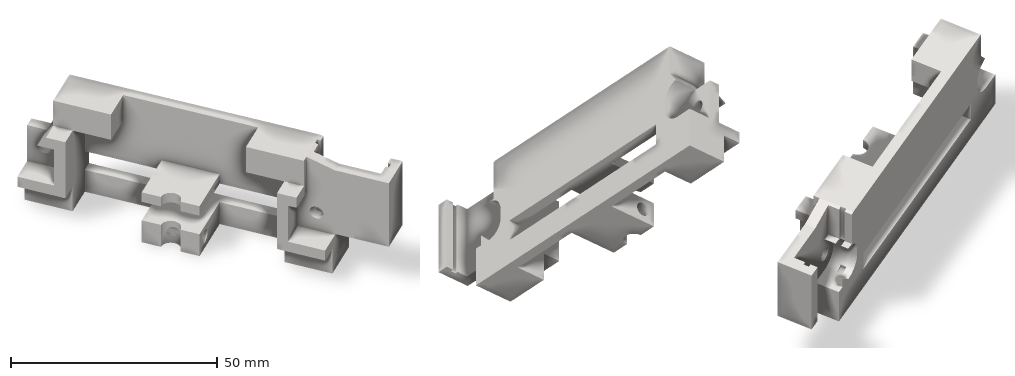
import cadquery as cq


total_length = 94.0
total_height = 32.7
base_length = 80.0
base_middle = base_length / 2
wall = 2.8

column_width = 12.5
column_foot_depth = 11.0
column_foot_height = 7.6
column_depth = 15.9
column_top = 24.9

wall_inset = 7.4
wall_right = base_length - wall_inset
wall_bottom = 12.5
corner_block_length = 15.0
bar_height = 6.8

tongue_width = 15.0
tongue_depth = 16.3
tongue_thickness = 2.9
groove_radius = 2.5
cross_hole_depth = 12.7
cross_hole_height = 3.5

hole_diameter = 3.6
hole_left_x = 4.6
hole_right_x = 75.2
lug_front_depth = 9.3
lug_back_depth = lug_front_depth - wall
pocket_bottom = 10.7
pocket_top = 21.8
hole_z = (pocket_bottom + pocket_top) / 2
pocket_reach = 4.9
cavity_radius = 4.5
roof_overhang = 2.3

arm_bottom = 11.0
arm_end_top = 30.6
flange_thickness = 3.1

rail_width = 0.8
slot_near_depth = 2.0
slot_far_depth = 3.5
slot_bite = 0.8

ramp_length = 2.9
ramp_width = 1.5
ramp_rise = ramp_length


def block(x_start, x_end, depth_start, depth_end, z_start, z_end):
    size = (x_end - x_start, depth_end - depth_start, z_end - z_start)
    return cq.Workplane("XY").box(*size, centered=False).translate((x_start, -depth_end, z_start))


def prism(points, depth_start, depth_end):
    """Extrude an XZ outline between two depths."""
    return (
        cq.Workplane("XZ", origin=(0, -depth_start, 0))
        .polyline(points)
        .close()
        .extrude(depth_end - depth_start)
    )


def column(x_start):
    x_end = x_start + column_width
    foot = block(x_start, x_end, 0, column_foot_depth, 0, column_top)
    return foot.union(block(x_start, x_end, 0, column_depth, column_foot_height, column_top))


def corner_block(x_start):
    return block(x_start, x_start + corner_block_length, 0, column_foot_depth, column_top, total_height)


def lug_cuts(hole_x, outward):
    """Front pocket and rounded back cavity; outward is -1 for the left end, 1 for the right."""
    inner_x = hole_x - outward * pocket_reach
    outer_x = inner_x + outward * column_width
    pocket_ends = sorted((inner_x, outer_x))
    pocket = block(*pocket_ends, lug_front_depth, column_depth, pocket_bottom, pocket_top)

    cavity_inner_x = hole_x - outward * cavity_radius
    cavity_ends = sorted((cavity_inner_x, outer_x))
    inner_edges = "<X and |Y" if outward > 0 else ">X and |Y"
    cavity = (
        block(*cavity_ends, 0, lug_back_depth, pocket_bottom, pocket_top)
        .edges(inner_edges)
        .fillet(cavity_radius)
    )
    return pocket.union(cavity)


def screw_hole(hole_x):
    return cq.Workplane("XZ").center(hole_x, hole_z).circle(hole_diameter / 2).extrude(column_depth)


def slanted_corner():
    """Waste beside the left roof, leaving its end slanted and clear of the cavity below it."""
    tip_x = wall_inset - roof_overhang
    outline = [(0, pocket_top), (tip_x, pocket_top), (wall_inset, column_top), (0, column_top)]
    cavity_mouth = block(0, tip_x, 0, lug_back_depth, hole_z, pocket_top)
    return prism(outline, 0, column_depth).union(cavity_mouth)


def sloped_outline(x_end):
    """Outline right of the wall whose top falls from the wall end to the column's outer side."""
    slope = (total_height - arm_end_top) / wall_inset
    return [
        (wall_right, arm_bottom),
        (x_end, arm_bottom),
        (x_end, total_height - slope * (x_end - wall_right)),
        (wall_right, total_height),
    ]


def arm():
    body = prism(sloped_outline(base_length), lug_back_depth, lug_front_depth)
    body = body.union(
        block(base_length, total_length, lug_back_depth, lug_front_depth, arm_bottom, arm_end_top)
    )
    flange_x = total_length - flange_thickness
    return body.union(block(flange_x, total_length, 0, lug_front_depth, arm_bottom, arm_end_top))


def ramp():
    start = hole_right_x
    end = start + ramp_length
    outline = [(start, pocket_bottom), (end, pocket_bottom), (end, pocket_bottom + ramp_rise)]
    return prism(outline, 0, ramp_width)


frame = column(0).union(column(base_length - column_width))
frame = frame.union(block(wall_inset, wall_right, 0, wall, wall_bottom, total_height))
frame = frame.union(block(column_width, base_length - column_width, 0, wall, 0, bar_height))
for block_x in (wall_inset, wall_right - corner_block_length):
    frame = frame.union(corner_block(block_x))

frame = frame.cut(block(wall_right, base_length, 0, column_depth, pocket_top, column_top))
frame = frame.cut(slanted_corner())

frame = frame.union(prism(sloped_outline(wall_right + rail_width), 0, lug_back_depth))
frame = frame.cut(lug_cuts(hole_left_x, -1))
frame = frame.cut(lug_cuts(hole_right_x, 1))

frame = frame.union(arm())
for screw_x in (hole_left_x, hole_right_x):
    frame = frame.cut(screw_hole(screw_x))
slot_end_x = total_length - flange_thickness + slot_bite
frame = frame.cut(
    block(wall_right, slot_end_x, slot_near_depth, slot_far_depth, pocket_bottom, total_height)
)
frame = frame.union(ramp())

tongue_left = base_middle - tongue_width / 2
tongue_right = base_middle + tongue_width / 2
tongue = block(tongue_left, tongue_right, 0, tongue_depth, wall_bottom, wall_bottom + tongue_thickness)
clamp = block(tongue_left, tongue_right, 0, tongue_depth, 0, bar_height)
cross_hole = (
    cq.Workplane("YZ", origin=(tongue_left, -cross_hole_depth, cross_hole_height))
    .circle(hole_diameter / 2)
    .extrude(tongue_width)
)
groove = (
    cq.Workplane("XY")
    .center(base_middle, -tongue_depth)
    .circle(groove_radius)
    .extrude(total_height)
)

result = frame.union(tongue).union(clamp.cut(cross_hole)).cut(groove)